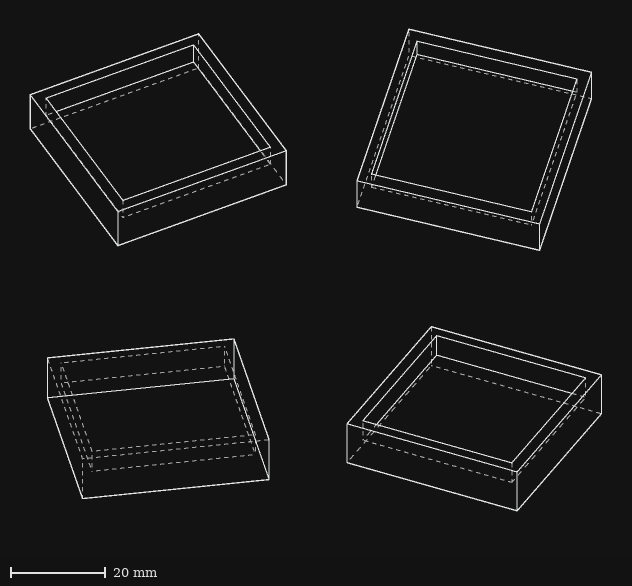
import cadquery as cq

side = 40.0
height = 10.0
pocket_side = 35.0
pocket_depth = 5.0

tray = cq.Workplane("XY").box(side, side, height, centered=(True, True, False))

result = tray.faces(">Z").workplane().rect(pocket_side, pocket_side).cutBlind(-pocket_depth)